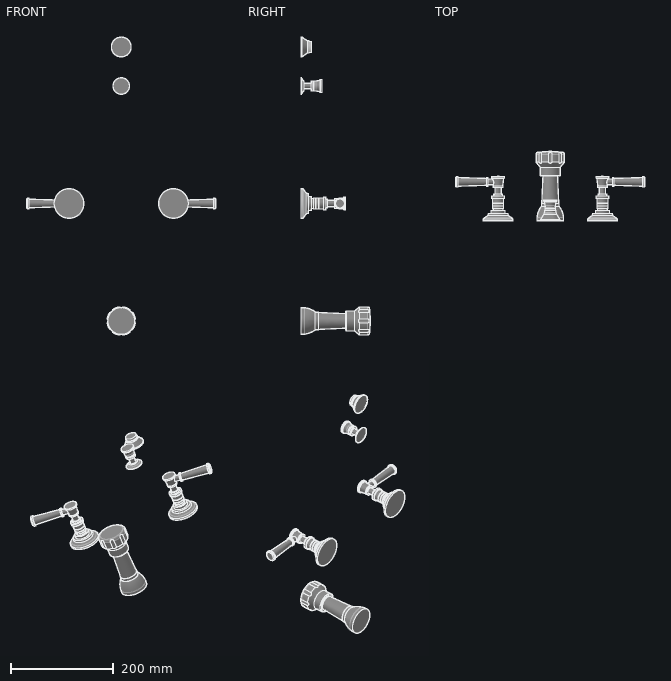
import cadquery as cq

OVERALL_WIDTH = 368.5
HANDLE_X = 101.5
SPRAY_Z = -229.0
KNOB_Z = 229.0
FLANGE_Z = 305.0

BASE_RADIUS = 29.0
BASE_RIM_HEIGHT = 4.0
BASE_SHOULDER_RADIUS = 25.5
BASE_SHOULDER_HEIGHT = 7.0
BASE_STEP_RADIUS = 20.5
BASE_STEP_BOTTOM = 10.5
BASE_TOP_RADIUS = 19.0
BASE_TOP = 14.5
SEAT_RADIUS = 14.0
SEAT_TOP = 20.5
UNDERCUT_RADIUS = 10.0
BODY_RADIUS = 11.0
BODY_BOTTOM = 24.5
BODY_TOP = 44.0
BODY_GROOVE_HEIGHTS = (29.0, 35.0)
BODY_GROOVE_WIDTH = 0.85
BODY_GROOVE_DEPTH = 0.5
BODY_RING_RADIUS = 13.0
BODY_RING_TOP = 49.0
GLAND_RADIUS = 8.5
GLAND_TOP = 52.0
STEM_RADIUS = 6.5
HUB_BOTTOM = 65.0
HUB_BEAD_RADIUS = 10.0
HUB_BEAD_TOP = 68.0
HUB_BOTTOM_RADIUS = 9.0
HUB_TOP_RADIUS = 11.0
HUB_RIM_BOTTOM = 82.5
HUB_RIM_RADIUS = 13.0
HUB_RIM_SLOPE = 1.0
HUB_TOP = 86.5
HUB_DOME_HEIGHT = 0.5

LEVER_HEIGHT = 76.0
LEVER_LENGTH = OVERALL_WIDTH / 2 - HANDLE_X
LEVER_NECK_RADIUS = 6.0
LEVER_COLLAR_RADIUS = 8.5
LEVER_COLLAR_START = 20.0
LEVER_COLLAR_WIDTH = 3.0
GRIP_START_RADIUS = 7.0
GRIP_END_RADIUS = 8.5
LEVER_CAP_RADIUS = 10.5
LEVER_CAP_START = 78.0
LEVER_CAP_EDGE = 80.5

FOOT_RADIUS = 26.0
FOOT_RIM_HEIGHT = 7.0
FLARE_MIDDLE = (23.0, 18.5)
FLARE_TOP_RADIUS = 18.0
FLARE_TOP = 28.0
BAND_RADIUS = 17.5
BAND_TOP = 34.0
GRIP_BOTTOM_RADIUS = 17.0
GRIP_TOP_RADIUS = 14.5
COLLAR_BOTTOM = 87.0
COLLAR_TOP = 104.5
COLLAR_RADIUS = 20.0
COLLAR_CHAMFER = 2.0
HEAD_RADIUS = 28.0
HEAD_BOTTOM = 114.5
HEAD_EDGE_ROUND = 4.5
HEAD_RIM = 134.0
SPRAY_HEIGHT = 136.0
FLUTE_COUNT = 8
FLUTE_RADIUS = 6.0
FLUTE_DEPTH = 2.0

KNOB_BASE_RADIUS = 16.0
KNOB_RIM_HEIGHT = 1.0
KNOB_SLOPE_RADIUS = 12.0
KNOB_SLOPE_HEIGHT = 3.5
KNOB_SEAT_RADIUS = 9.0
KNOB_SEAT_HEIGHT = 6.5
KNOB_STEM_RADIUS = 6.0
KNOB_STEM_TOP = 20.0
KNOB_RING_RADIUS = 10.0
KNOB_RING_TOP = 23.0
KNOB_GROOVE_RADIUS = 8.0
KNOB_GROOVE_HEIGHT = 24.5
KNOB_GRIP_BOTTOM = 25.5
KNOB_BAND_TOP = 29.5
KNOB_GRIP_TOP_RADIUS = 11.5
KNOB_GRIP_TOP = 37.0
KNOB_CAP_RADIUS = 13.0
KNOB_CAP_BOTTOM = 38.5
KNOB_HEIGHT = 41.0

FLANGE_DIAMETER = 39.0
FLANGE_RADIUS = FLANGE_DIAMETER / 2
FLANGE_RIM_HEIGHT = 2.5
FLANGE_BAND_RADIUS = 12.0
FLANGE_BAND_BOTTOM = 13.0
FLANGE_BAND_TOP = 15.5
FLANGE_TOP_RADIUS = 11.0
FLANGE_HEIGHT = 20.5


def turned(profile):
    """Revolve a closed (radius, height) polyline about the Y axis."""
    return cq.Workplane("XY").polyline(profile).close().revolve(360, (0, 0, 0), (0, 1, 0))


def body_groove(height):
    """Ring-shaped cutter for one V groove round the handle body, centred at this height."""
    outside = BODY_RADIUS + BODY_GROOVE_DEPTH
    return turned([
        (BODY_RADIUS - BODY_GROOVE_DEPTH, height),
        (outside, height - BODY_GROOVE_WIDTH),
        (outside, height + BODY_GROOVE_WIDTH),
    ])


def handle_column():
    """Stepped base, grooved body, stem and flared hub, all turned about Y."""
    column = turned([
        (0, 0),
        (BASE_RADIUS, 0),
        (BASE_RADIUS, BASE_RIM_HEIGHT),
        (BASE_SHOULDER_RADIUS, BASE_SHOULDER_HEIGHT),
        (BASE_STEP_RADIUS, BASE_STEP_BOTTOM),
        (BASE_TOP_RADIUS, BASE_TOP),
        (SEAT_RADIUS, BASE_TOP),
        (SEAT_RADIUS, SEAT_TOP),
        (UNDERCUT_RADIUS, SEAT_TOP),
        (UNDERCUT_RADIUS, BODY_BOTTOM),
        (BODY_RADIUS, BODY_BOTTOM),
        (BODY_RADIUS, BODY_TOP),
        (BODY_RING_RADIUS, BODY_TOP),
        (BODY_RING_RADIUS, BODY_RING_TOP),
        (GLAND_RADIUS, BODY_RING_TOP),
        (GLAND_RADIUS, GLAND_TOP),
        (STEM_RADIUS, GLAND_TOP),
        (STEM_RADIUS, HUB_BOTTOM),
        (HUB_BEAD_RADIUS, HUB_BOTTOM),
        (HUB_BEAD_RADIUS, HUB_BEAD_TOP),
        (HUB_BOTTOM_RADIUS, HUB_BEAD_TOP),
        (HUB_TOP_RADIUS, HUB_RIM_BOTTOM),
        (HUB_RIM_RADIUS, HUB_RIM_BOTTOM + HUB_RIM_SLOPE),
        (HUB_RIM_RADIUS, HUB_TOP),
        (0, HUB_TOP + HUB_DOME_HEIGHT),
    ])
    for height in BODY_GROOVE_HEIGHTS:
        column = column.cut(body_groove(height))
    return column


def handle_lever():
    """Tapered grip with a collar and an end cap, turned about Y and then laid along +X."""
    collar_end = LEVER_COLLAR_START + LEVER_COLLAR_WIDTH
    lever = turned([
        (0, 0),
        (LEVER_NECK_RADIUS, 0),
        (LEVER_NECK_RADIUS, LEVER_COLLAR_START),
        (LEVER_COLLAR_RADIUS, LEVER_COLLAR_START),
        (LEVER_COLLAR_RADIUS, collar_end),
        (GRIP_START_RADIUS, collar_end),
        (GRIP_END_RADIUS, LEVER_CAP_START),
        (LEVER_CAP_RADIUS, LEVER_CAP_START),
        (LEVER_CAP_RADIUS, LEVER_CAP_EDGE),
        (GRIP_END_RADIUS, LEVER_LENGTH),
        (0, LEVER_LENGTH),
    ])
    return lever.rotate((0, 0, 0), (0, 0, 1), -90).translate((0, LEVER_HEIGHT, 0))


def handle(side):
    """Lever handle at X = side * HANDLE_X, its lever pointing away from the centre."""
    lever = handle_lever()
    if side < 0:
        lever = lever.mirror("YZ")
    return handle_column().union(lever).translate((side * HANDLE_X, 0, 0))


def spray_flute():
    """Round cutter for the flute on the +X side of the head; it runs out through the cone below."""
    axis_x = HEAD_RADIUS - FLUTE_DEPTH + FLUTE_RADIUS
    cutter = cq.Workplane("XZ", origin=(axis_x, COLLAR_TOP, 0)).circle(FLUTE_RADIUS)
    return cutter.extrude(COLLAR_TOP - SPRAY_HEIGHT)


def spray():
    """Side spray: flared foot, tapered grip, collar and fluted head with a slightly domed face."""
    body = (
        cq.Workplane("XY")
        .lineTo(FOOT_RADIUS, 0)
        .lineTo(FOOT_RADIUS, FOOT_RIM_HEIGHT)
        .threePointArc(FLARE_MIDDLE, (FLARE_TOP_RADIUS, FLARE_TOP))
        .lineTo(BAND_RADIUS, FLARE_TOP)
        .lineTo(BAND_RADIUS, BAND_TOP)
        .lineTo(GRIP_BOTTOM_RADIUS, BAND_TOP)
        .lineTo(GRIP_TOP_RADIUS, COLLAR_BOTTOM)
        .lineTo(COLLAR_RADIUS - COLLAR_CHAMFER, COLLAR_BOTTOM)
        .lineTo(COLLAR_RADIUS, COLLAR_BOTTOM + COLLAR_CHAMFER)
        .lineTo(COLLAR_RADIUS, COLLAR_TOP)
        .lineTo(HEAD_RADIUS, HEAD_BOTTOM)
        .lineTo(HEAD_RADIUS, HEAD_RIM - HEAD_EDGE_ROUND)
        .radiusArc((HEAD_RADIUS - HEAD_EDGE_ROUND, HEAD_RIM), -HEAD_EDGE_ROUND)
        .lineTo(0, SPRAY_HEIGHT)
        .close()
        .revolve(360, (0, 0, 0), (0, 1, 0))
    )
    for index in range(FLUTE_COUNT):
        angle = index * 360 / FLUTE_COUNT
        body = body.cut(spray_flute().rotate((0, 0, 0), (0, 1, 0), angle))
    return body.translate((0, 0, SPRAY_Z))


def diverter_knob():
    """Conical base, slim stem and ringed, flared grip."""
    knob = turned([
        (0, 0),
        (KNOB_BASE_RADIUS, 0),
        (KNOB_BASE_RADIUS, KNOB_RIM_HEIGHT),
        (KNOB_SLOPE_RADIUS, KNOB_SLOPE_HEIGHT),
        (KNOB_SEAT_RADIUS, KNOB_SEAT_HEIGHT),
        (KNOB_STEM_RADIUS, KNOB_SEAT_HEIGHT),
        (KNOB_STEM_RADIUS, KNOB_STEM_TOP),
        (KNOB_RING_RADIUS, KNOB_STEM_TOP),
        (KNOB_RING_RADIUS, KNOB_RING_TOP),
        (KNOB_GROOVE_RADIUS, KNOB_GROOVE_HEIGHT),
        (KNOB_RING_RADIUS, KNOB_GRIP_BOTTOM),
        (KNOB_RING_RADIUS, KNOB_BAND_TOP),
        (KNOB_GRIP_TOP_RADIUS, KNOB_GRIP_TOP),
        (KNOB_CAP_RADIUS, KNOB_CAP_BOTTOM),
        (KNOB_CAP_RADIUS, KNOB_HEIGHT),
        (0, KNOB_HEIGHT),
    ])
    return knob.translate((0, 0, KNOB_Z))


def drain_flange():
    """Conical flange with a band and a short reduced end."""
    flange = turned([
        (0, 0),
        (FLANGE_RADIUS, 0),
        (FLANGE_RADIUS, FLANGE_RIM_HEIGHT),
        (FLANGE_BAND_RADIUS, FLANGE_BAND_BOTTOM),
        (FLANGE_BAND_RADIUS, FLANGE_BAND_TOP),
        (FLANGE_TOP_RADIUS, FLANGE_BAND_TOP),
        (FLANGE_TOP_RADIUS, FLANGE_HEIGHT),
        (0, FLANGE_HEIGHT),
    ])
    return flange.translate((0, 0, FLANGE_Z))


handles = [handle(side) for side in (-1, 1)]
bodies = [*handles, spray(), diverter_knob(), drain_flange()]
result = cq.Compound.makeCompound([body.solids().val() for body in bodies])